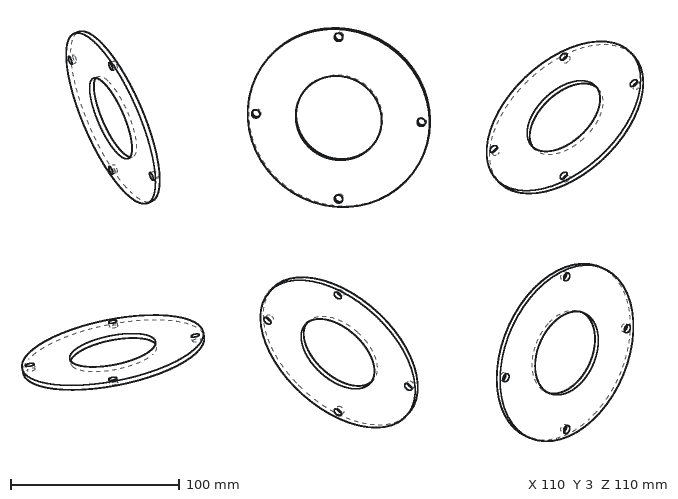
import cadquery as cq

outer_diameter = 110.0
bore_diameter = 52.0
thickness = 3.0

hole_count = 4
hole_diameter = 5.0
bolt_circle_diameter = 100.0

back_face = cq.Workplane("XZ", origin=(0, thickness / 2, 0))

ring = (
    back_face
    .circle(outer_diameter / 2)
    .circle(bore_diameter / 2)
    .extrude(thickness)
)

mounting_holes = (
    back_face
    .polarArray(bolt_circle_diameter / 2, 0, 360, hole_count)
    .circle(hole_diameter / 2)
    .extrude(thickness)
)

result = ring.cut(mounting_holes)